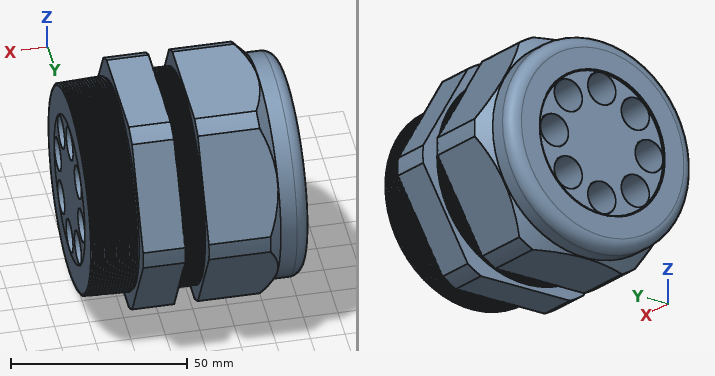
import cadquery as cq
import math

total_length = 63.0
hex_across_corners = 72.15
hex_across_flats = 65.0

collar_end = 8.45
cap_end = 30.0
flange_start = 36.9
flange_end = 49.05

collar_radius = 32.4
collar_fillet = 3.8

cap_thread_radius = 31.4
cap_thread_depth = 0.5
cap_thread_ring_count = 9

end_thread_start = 49.5
end_thread_start_radius = 30.95
end_thread_end_radius = 30.5
end_thread_depth = 0.6
end_thread_ring_count = 15

thread_flat_share = 1 / 8

insert_radius = 21.7
insert_setback = 0.3
clearance = 0.3
clearance_depth = 0.6
cable_hole_count = 8
cable_hole_diameter = 9.8
cable_hole_circle_radius = 16.7


def cylinder(radius, start, end):
    """A cylinder on the gland axis between two positions."""
    return cq.Workplane("YZ", origin=(start, 0, 0)).circle(radius).extrude(end - start)


def rounded_hexagon(start, end):
    """A hexagon with flats at top and bottom and corners rounded about the axis."""
    vertex_diameter = hex_across_flats / math.cos(math.pi / 6)
    hexagon = cq.Workplane("YZ", origin=(start, 0, 0)).polygon(6, vertex_diameter).extrude(end - start)
    return hexagon.intersect(cylinder(hex_across_corners / 2, start, end))


def threaded_sleeve(start, end, start_radius, end_radius, depth, ring_count):
    """A solid of revolution with V-shaped rings whose crests run from one radius to the other."""
    pitch = (end - start) / ring_count
    half_flat = thread_flat_share * pitch / 2
    profile = [(start, 0), (start, start_radius - depth)]
    for ring in range(ring_count):
        crest = start + (ring + 0.5) * pitch
        crest_radius = start_radius + (end_radius - start_radius) * (ring + 0.5) / ring_count
        root_radius = crest_radius - depth
        profile.append((crest - pitch / 2 + half_flat, root_radius))
        profile.append((crest - half_flat, crest_radius))
        profile.append((crest + half_flat, crest_radius))
        profile.append((crest + pitch / 2 - half_flat, root_radius))
    profile.append((end, end_radius - depth))
    profile.append((end, 0))
    return cq.Workplane("XY").polyline(profile).close().revolve(360, (0, 0, 0), (1, 0, 0))


def make_cap():
    """The cap: a filleted round collar and a hexagon with its front corners turned to a 45-degree cone."""
    collar = cylinder(collar_radius, 0, collar_end).faces("<X").edges().fillet(collar_fillet)
    corner_height = hex_across_corners / 2 - collar_radius
    envelope = cylinder(hex_across_corners / 2, collar_end, cap_end).faces("<X").chamfer(corner_height)
    return collar.union(rounded_hexagon(collar_end, cap_end).intersect(envelope))


def make_housing():
    """The gland housing: cap, threads and flange around the insert bore, which is wider at its front end."""
    cap_thread = threaded_sleeve(
        cap_end, flange_start, cap_thread_radius, cap_thread_radius, cap_thread_depth, cap_thread_ring_count
    )
    neck = cylinder(end_thread_start_radius - end_thread_depth, flange_end, end_thread_start)
    end_thread = threaded_sleeve(
        end_thread_start,
        total_length,
        end_thread_start_radius,
        end_thread_end_radius,
        end_thread_depth,
        end_thread_ring_count,
    )
    flange = rounded_hexagon(flange_start, flange_end)
    housing = make_cap().union(cap_thread).union(flange).union(neck).union(end_thread)
    bore = cylinder(insert_radius, 0, total_length)
    front_clearance = cylinder(insert_radius + clearance, 0, clearance_depth)
    return housing.cut(bore).cut(front_clearance)


def make_insert():
    """The sealing insert: a plug filling the bore, with a ring of through holes for cables."""
    holes = (
        cq.Workplane("YZ")
        .polarArray(cable_hole_circle_radius, 0, 360, cable_hole_count)
        .circle(cable_hole_diameter / 2)
        .extrude(total_length)
    )
    return cylinder(insert_radius, insert_setback, total_length).cut(holes)


centering = (-total_length / 2, 0, 0)
housing = make_housing().translate(centering)
insert = make_insert().translate(centering)

result = cq.Compound.makeCompound([housing.val(), insert.val()])